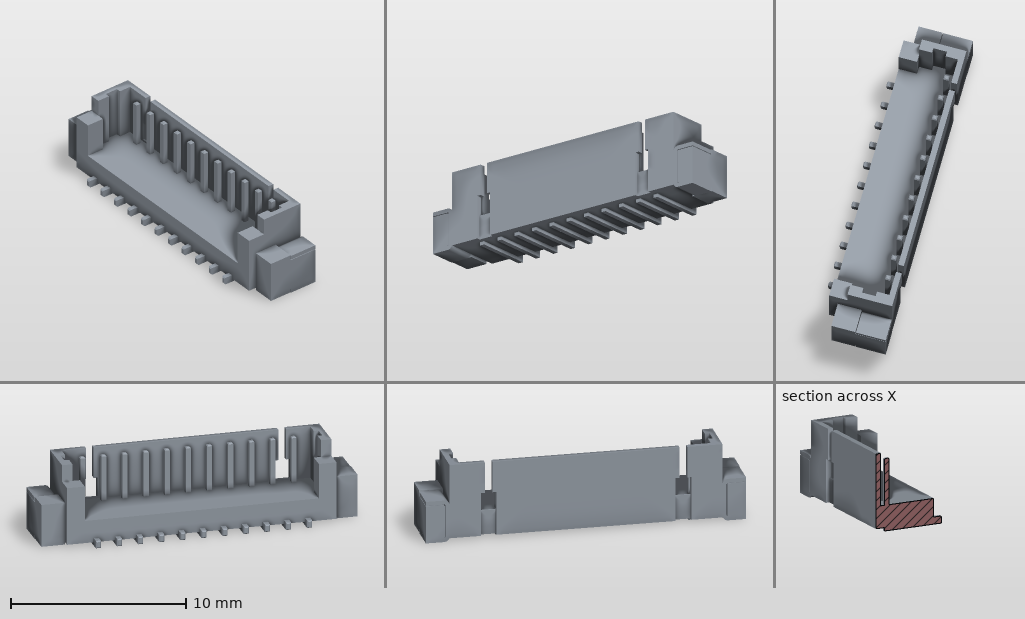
import cadquery as cq


total_width = 18.7
total_height = 4.65
total_depth = 4.25

housing_width = 15.93
housing_depth = 3.72
housing_bottom = 0.2
rear_part_depth = 2.64
front_post_drop = 1.01
floor_height = 1.55

rear_wall = 0.34
cavity_width = 14.7
front_opening_width = 13.84
recess_width = 15.25
recess_rear = 1.07
recess_front = 1.87

keyway_center = 5.68
keyway_width = 0.45
window_width = 0.92
window_bottom = 1.66
window_top = 2.8
rear_groove_depth = 0.22

pin_count = 11
pin_span = 12.5
pin_pitch = pin_span / (pin_count - 1)
pin_side = 0.3
pin_depth = 0.71
pin_drop = 0.34
pin_top = total_height - pin_drop
foot_height = 0.45
tip_chamfer = 0.065

left_end_x = -total_width / 2
left_wall_x = -housing_width / 2
ear_depth = 3.22
ear_bottom = 0.04
ear_top = 2.58
clip_depth = 1.75
clip_top = 2.52
clip_thickness = 0.25
clip_outer_radius = 0.32
clip_inner_radius = clip_outer_radius - clip_thickness
clip_gap = 0.04
slot_depth = clip_depth + clip_gap
core_bottom = clip_thickness
core_top = clip_top - clip_thickness - clip_gap


def block(x_range, depth_range, z_range):
    """Box between pairs of X, depth and Z limits."""
    size = [high - low for low, high in (x_range, depth_range, z_range)]
    corner = (x_range[0], -depth_range[1], z_range[0])
    return cq.Workplane("XY").box(*size, centered=False).translate(corner)


def wide_block(width, depth_range, z_range):
    """Box of the given width, centred on X = 0."""
    return block((-width / 2, width / 2), depth_range, z_range)


def housing_shell():
    """Tray with a tall rear part, two lower front posts and an open front."""
    post_top = total_height - front_post_drop
    profile = [
        (0, housing_bottom),
        (-housing_depth, housing_bottom),
        (-housing_depth, post_top),
        (-rear_part_depth, post_top),
        (-rear_part_depth, total_height),
        (0, total_height),
    ]
    shell = cq.Workplane("YZ").polyline(profile).close().extrude(housing_width / 2, both=True)
    above_floor = (floor_height, total_height)
    cavity = wide_block(cavity_width, (rear_wall, rear_part_depth), above_floor)
    opening = wide_block(front_opening_width, (rear_wall, housing_depth), above_floor)
    recesses = wide_block(recess_width, (recess_rear, recess_front), above_floor)
    return shell.cut(cavity).cut(opening).cut(recesses)


def keyway(center):
    """Slot down the rear wall, a wider window under it and a shallow groove below the window."""
    window_x = (center - window_width / 2, center + window_width / 2)
    slot_x = (center - keyway_width / 2, center + keyway_width / 2)
    slot = block(slot_x, (0, rear_wall), (window_bottom, total_height))
    window = block(window_x, (0, rear_wall), (window_bottom, window_top))
    groove = block(window_x, (0, rear_groove_depth), (housing_bottom, window_bottom))
    return slot.union(window).union(groove)


def left_ear():
    """Ear whose rear part is reduced to a core that the clip wraps round."""
    front = block((left_end_x, left_wall_x), (slot_depth, ear_depth), (ear_bottom, ear_top))
    core_inner_x = left_wall_x - clip_thickness - clip_gap
    core = block((left_end_x, core_inner_x), (0, slot_depth), (core_bottom, core_top))
    core = core.edges("|Y and >X").fillet(clip_inner_radius)
    return front.union(core)


def contact(x):
    """Upright pin joined to a solder foot that leaves under the front of the housing."""
    x_range = (x - pin_side / 2, x + pin_side / 2)
    pin_rear = pin_depth - pin_side / 2
    pin = block(x_range, (pin_rear, pin_rear + pin_side), (0, pin_top))
    pin = pin.faces(">Z").chamfer(tip_chamfer)
    foot = block(x_range, (pin_rear, total_depth), (0, foot_height))
    foot = foot.faces("<Y").chamfer(tip_chamfer)
    return pin.union(foot)


def left_clip():
    """Strip bent into a C that opens outwards, with its web against the housing wall."""
    outside = block((left_end_x, left_wall_x), (0, clip_depth), (0, clip_top))
    outside = outside.edges("|Y and >X").fillet(clip_outer_radius)
    inside = block(
        (left_end_x, left_wall_x - clip_thickness),
        (0, clip_depth),
        (clip_thickness, clip_top - clip_thickness),
    )
    inside = inside.edges("|Y and >X").fillet(clip_inner_radius)
    return outside.cut(inside)


housing = housing_shell()
for side in (-1, 1):
    housing = housing.cut(keyway(side * keyway_center))
ear = left_ear()
housing = housing.union(ear).union(ear.mirror("YZ"))
for index in range(pin_count):
    housing = housing.union(contact(index * pin_pitch - pin_span / 2))

clip = left_clip()
clips = [clip, clip.mirror("YZ")]

result = cq.Compound.makeCompound([housing.val(), *[each.val() for each in clips]])